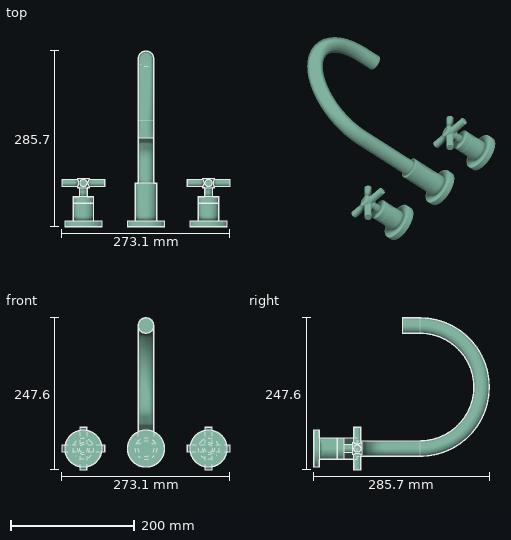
import cadquery as cq


flange_diameter = 60.5
flange_thickness = 9.5

spout_reach = 285.7
pipe_diameter = 25.5
bend_radius = 100.0
outlet_length = 28.5
collar_diameter = 35.0
collar_end = 70.9
bend_start = spout_reach - bend_radius - pipe_diameter / 2

handle_offset = 101.7
sleeve_diameter = 33.7
sleeve_end = 38.0
knob_gap = 0.5
cap_end = 49.0
neck_diameter = 13.0
hub_diameter = 19.0
hub_start = 63.5
hub_end = 78.9
arm_diameter = 11.7
arm_span = 69.7
hub_middle = (hub_start + hub_end) / 2


def rod(diameter, start, end):
    """Round bar on the Y axis between two distances from the wall."""
    bar = cq.Workplane("XZ").circle(diameter / 2).extrude(start - end)
    return bar.translate((0, start, 0))


def make_spout():
    """Wall flange, collar and hooked pipe as one piece."""
    path = (
        cq.Workplane("YZ")
        .moveTo(0, 0)
        .lineTo(bend_start, 0)
        .threePointArc((bend_start + bend_radius, bend_radius), (bend_start, 2 * bend_radius))
        .lineTo(bend_start - outlet_length, 2 * bend_radius)
    )
    pipe = cq.Workplane("XZ").circle(pipe_diameter / 2).sweep(path)
    flange = rod(flange_diameter, 0, flange_thickness)
    collar = rod(collar_diameter, flange_thickness, collar_end)
    return flange.union(collar).union(pipe)


def make_handle_base():
    """Wall flange with the fixed sleeve behind the knob."""
    flange = rod(flange_diameter, 0, flange_thickness)
    return flange.union(rod(sleeve_diameter, flange_thickness, sleeve_end))


def make_cross_knob():
    """Turning cap, neck and hub with four crossed arms."""
    cap = rod(sleeve_diameter, sleeve_end + knob_gap, cap_end)
    neck = rod(neck_diameter, cap_end, hub_start)
    hub = rod(hub_diameter, hub_start, hub_end)
    knob = cap.union(neck).union(hub)
    for plane in ("YZ", "XY"):
        arms = cq.Workplane(plane).circle(arm_diameter / 2).extrude(arm_span / 2, both=True)
        knob = knob.union(arms.translate((0, hub_middle, 0)))
    return knob


spout = make_spout()
handle_bodies = []
for x in (-handle_offset, handle_offset):
    handle_base = make_handle_base().translate((x, 0, 0))
    cross_knob = make_cross_knob().translate((x, 0, 0))
    handle_bodies += [handle_base.val(), cross_knob.val()]

result = cq.Compound.makeCompound([spout.val(), *handle_bodies])